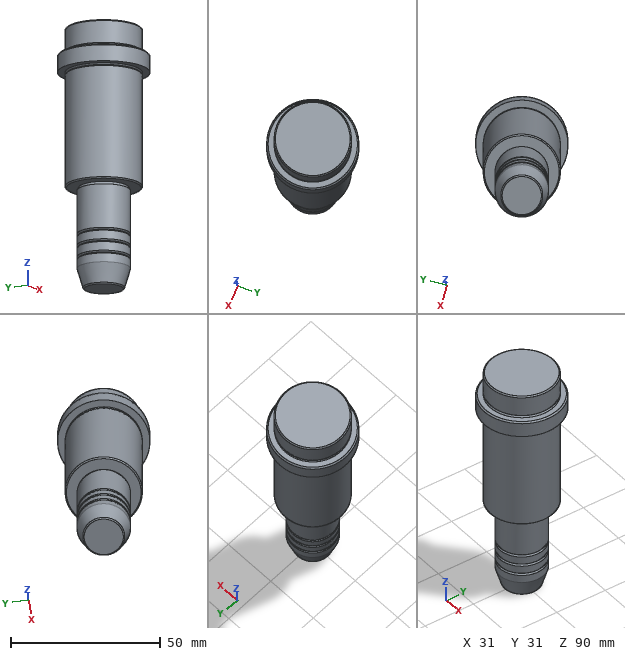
import cadquery as cq

length = 90.0
flange_radius = 31.0 / 2
body_radius = 25.9 / 2
shank_radius = 18.0 / 2
tip_radius = 14.0 / 2

flange_top = length - 9.0
flange_bottom = flange_top - 6.0
body_bottom = length - 55.0
taper_height = 7.0

flange_chamfer = 0.5
edge_chamfer = 0.45
tip_chamfer = 0.45

groove_width = 1.0
lowest_groove_center = 10.5
groove_pitch = 4.0
groove_count = 3

relief_height = 1.0
relief_depth = 0.5


def cylinder(radius, bottom, top):
    return cq.Workplane("XY").workplane(offset=bottom).circle(radius).extrude(top - bottom)


def revolve_profile(points):
    """Revolve a closed (radius, height) outline about the Z axis."""
    return cq.Workplane("XZ").polyline(points).close().revolve(360, (0, 0, 0), (0, 1, 0))


def v_groove(radius, center):
    """Ring-shaped cutter for a V groove in a cylinder of the given radius."""
    half_width = groove_width / 2
    return revolve_profile([
        (radius, center - half_width),
        (radius - half_width, center),
        (radius, center + half_width),
    ])


body = cylinder(body_radius, body_bottom, length).edges().chamfer(edge_chamfer)
for groove_center in (flange_top + groove_width / 2, flange_bottom - groove_width / 2):
    body = body.cut(v_groove(body_radius, groove_center))

flange = cylinder(flange_radius, flange_bottom, flange_top).faces(">Z").edges().chamfer(flange_chamfer)

shank = revolve_profile([
    (0, 0),
    (tip_radius - tip_chamfer, 0),
    (tip_radius, tip_chamfer),
    (shank_radius, taper_height),
    (shank_radius, body_bottom - relief_height),
    (shank_radius - relief_depth, body_bottom),
    (0, body_bottom),
])
for index in range(groove_count):
    shank = shank.cut(v_groove(shank_radius, lowest_groove_center + index * groove_pitch))

result = body.union(flange).union(shank)